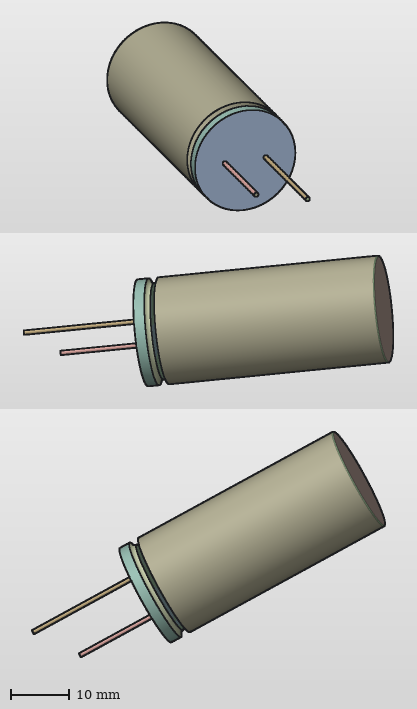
import cadquery as cq

total_length = 62
body_length = 42.0
body_diameter = 18.5
end_rounding = 0.2

groove_center_x = 39.2
groove_radius = 0.85

lead_diameter = 0.8
lead_pitch = 7.5
long_lead_length = total_length - body_length
short_lead_length = 15.0

body_radius = body_diameter / 2


def build_body():
    """Plain cylinder along X with its closed end rounded, cut by the groove all the way round."""
    cylinder = cq.Workplane("YZ").circle(body_radius).extrude(body_length)
    cylinder = cylinder.faces("<X").edges().fillet(end_rounding)
    groove = (
        cq.Workplane("XY")
        .center(groove_center_x, body_radius)
        .circle(groove_radius)
        .revolve(360, (0, -body_radius, 0), (1, -body_radius, 0))
    )
    return cylinder.cut(groove)


def build_slice(start_x, end_x):
    """Part of the grooved body between two planes across its axis."""
    slab_width = 2 * body_diameter
    slab = (
        cq.Workplane("YZ", origin=(start_x, 0, 0))
        .rect(slab_width, slab_width)
        .extrude(end_x - start_x)
    )
    return build_body().intersect(slab).solids()


def build_can():
    """Long closed part, up to the bottom of the groove."""
    return build_slice(0, groove_center_x)


def build_base():
    """Short part that carries the leads, from the bottom of the groove to the flat end."""
    return build_slice(groove_center_x, body_length)


def build_lead(y, length):
    """Straight round wire standing on the flat end of the base."""
    return (
        cq.Workplane("YZ", origin=(body_length, y, 0))
        .circle(lead_diameter / 2)
        .extrude(length)
    )


can = build_can()
base = build_base()

leads = []
for side, length in ((1, long_lead_length), (-1, short_lead_length)):
    lead = build_lead(side * lead_pitch / 2, length)
    leads.append(lead.val())

result = cq.Compound.makeCompound([can.val(), base.val(), *leads])